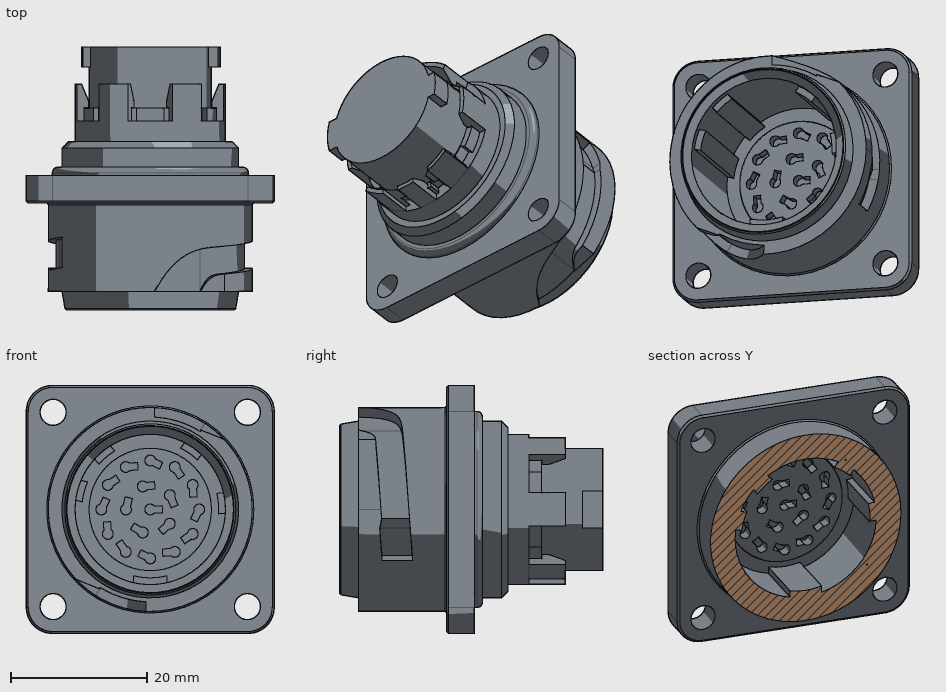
import cadquery as cq
import math

total_length = 38.7

flange_side = 36.5
flange_corner_radius = 3.85
flange_edge_chamfer = 0.3
flange_front = 15.7
flange_back = 19.8
mount_hole_diameter = 3.8
mount_hole_offset = 14.28

shell_radius = 30.0 / 2
shell_front = 2.75
shell_foot_height = 0.25
tip_radius = 12.57
tip_edge_chamfer = 0.25
collar_base_radius = 26.0 / 2

round_collar_radius = 14.45
round_collar_back = 21.0
round_collar_fillet = 0.85
collar_back = 24.75
collar_chamfer = 0.95

bore_radius = 22.1 / 2
bore_mouth_radius = 12.23
bore_mouth_depth = 0.58
bore_depth = flange_back
insert_face = 19.42
insert_radius = 18.0 / 2

key_inner_radius = 10.05
key_front = 1.78
keys = [(5, 3.0), (55, 3.0), (130, 3.0), (165, 3.0), (270, 4.95)]

cavity_radius = 1.6 / 2
cavity_tail_width = 1.1
cavity_tail_length = 1.78
cavity_depth = 1.95
inner_circle_radius = 3.55
inner_circle_count = 5
inner_circle_start = 36
inner_circle_turn = -103
outer_circle_radius = 7.2
outer_circle_count = 12
outer_circle_turn = -116

finger_root = 27.8
finger_tip = 33.2
finger_width = 4.9
finger_count = 6
bottom_angle = 270
bottom_tab_width = 2.95
bottom_gap_width = 8.45
finger_tip_inner_radius = 10.35
hook_front = 29.75
hook_back = 30.8
hook_radius = 9.4

ring_radius = 10.02
ring_back = 29.68
ring_notch_floor = 9.15
ring_notch_span = 45.0
ring_notch_centres = (56, 124, 236, 304)

lug_front = 35.7
left_lug_radius = 10.1
left_lug_width = 4.1
right_lug_radius = 10.33
right_lug_width = 5.4

slot_count = 2
slot_end_angle = -30.0
slot_bend_angle = 50.0
slot_mouth_angle = 87.5
slot_lip_angle = 42.6
slot_lip_front_angle = 57.6
slot_back_at_axis = 10.18
slot_lead_per_degree = 0.018
slot_width = 4.1
slot_floor_low = 13.58
slot_floor_high = 13.93
slot_clearance = 0.4
detent_start_angle = -5.6
detent_full_angle = -11.5
detent_width = 4.5
ramp_normal_angle = 68.0
wall_steps = 24


def cylinder(radius, front, back):
    """Solid cylinder about the Y axis between two stations."""
    return cq.Workplane("XZ", origin=(0, front, 0)).circle(radius).extrude(front - back)


def turned(profile, span=360):
    """Revolve (radius, y) points about the Y axis through a span of degrees."""
    return cq.Workplane("XY").polyline(profile).close().revolve(span, (0, 0, 0), (0, 1, 0))


def turn(body, angle):
    """Turn a body about the Y axis, positive from +X towards +Z."""
    return body.rotate((0, 0, 0), (0, 1, 0), -angle)


def bar(inner, outer, width, front, back):
    """Rectangular bar reaching out along +X from the axis."""
    middle = ((inner + outer) / 2, (front + back) / 2, 0)
    return cq.Workplane("XY").box(outer - inner, back - front, width).translate(middle)


def make_body():
    """Turned shell, collars and rear barrel."""
    rear_edge = collar_base_radius - collar_chamfer
    body = turned([
        (0, 0),
        (tip_radius - tip_edge_chamfer, 0),
        (tip_radius, tip_edge_chamfer),
        (collar_base_radius, shell_front),
        (shell_radius, shell_front),
        (shell_radius, flange_front - shell_foot_height),
        (shell_radius + shell_foot_height, flange_front),
        (collar_base_radius, flange_front),
        (collar_base_radius, collar_back - collar_chamfer),
        (rear_edge, collar_back),
        (bore_radius, collar_back),
        (bore_radius, finger_root),
        (insert_radius, finger_root),
        (insert_radius, total_length),
        (0, total_length),
    ])
    round_collar = cylinder(round_collar_radius, flange_back, round_collar_back)
    return body.union(round_collar.faces(">Y").edges().fillet(round_collar_fillet))


def make_flange():
    """Square plate with rounded corners and four mounting holes."""
    holes = [(x, z) for x in (-mount_hole_offset, mount_hole_offset)
             for z in (-mount_hole_offset, mount_hole_offset)]
    plate = (
        cq.Workplane("XZ", origin=(0, flange_front, 0))
        .rect(flange_side, flange_side)
        .extrude(flange_front - flange_back)
        .edges("|Y").fillet(flange_corner_radius)
        .faces("<Y").chamfer(flange_edge_chamfer)
    )
    drills = (
        cq.Workplane("XZ", origin=(0, flange_front, 0))
        .pushPoints(holes)
        .circle(mount_hole_diameter / 2)
        .extrude(flange_front - flange_back)
    )
    return plate.cut(drills)


def make_bore():
    """Flared bore with the keys left standing on its wall."""
    bore = turned([
        (0, 0),
        (bore_mouth_radius, 0),
        (bore_radius, bore_mouth_depth),
        (bore_radius, bore_depth),
        (insert_radius, bore_depth),
        (insert_radius, insert_face),
        (0, insert_face),
    ])
    keyed_wall = cylinder(bore_radius, key_front, bore_depth)
    keyed_wall = keyed_wall.cut(cylinder(key_inner_radius, key_front, bore_depth))
    for angle, width in keys:
        key = bar(0, shell_radius, width, key_front, bore_depth).intersect(keyed_wall)
        bore = bore.cut(turn(key, angle))
    return bore


def make_cavity(radius, angle, tail_angle):
    """Keyhole cavity on a pitch circle, its tail pointing along tail_angle."""
    round_end = cylinder(cavity_radius, insert_face, insert_face + cavity_depth)
    tail = bar(0, cavity_tail_length, cavity_tail_width, insert_face, insert_face + cavity_depth)
    place = math.radians(angle)
    return turn(round_end.union(tail), tail_angle).translate(
        (radius * math.cos(place), 0, radius * math.sin(place)))


def make_cavities():
    """One centre cavity and two pitch circles of cavities."""
    cavities = make_cavity(0, 0, 0)
    for i in range(inner_circle_count):
        angle = inner_circle_start + i * 360 / inner_circle_count
        cavities = cavities.union(make_cavity(inner_circle_radius, angle, angle + inner_circle_turn))
    for i in range(outer_circle_count):
        angle = i * 360 / outer_circle_count
        cavities = cavities.union(make_cavity(outer_circle_radius, angle, angle + outer_circle_turn))
    return cavities


def make_ring():
    """Retaining ring seated under the finger hooks, with four notches in its rim."""
    ring = cylinder(ring_radius, collar_back, ring_back)
    notch = turned([
        (ring_notch_floor, finger_root),
        (shell_radius, finger_root),
        (shell_radius, ring_back),
        (ring_notch_floor, ring_back),
    ], ring_notch_span)
    for angle in ring_notch_centres:
        ring = ring.cut(turn(notch, angle + ring_notch_span / 2))
    return ring


def make_fingers():
    """Hooked snap fingers, trimmed at the bottom to leave room for the tab."""
    finger_sleeve = turned([
        (hook_radius, hook_front),
        (ring_radius, hook_front),
        (ring_radius, finger_root),
        (bore_radius, finger_root),
        (bore_radius, finger_tip),
        (finger_tip_inner_radius, finger_tip),
        (hook_radius, hook_back),
    ])
    finger = finger_sleeve.intersect(bar(0, shell_radius, finger_width, finger_root, finger_tip))
    fingers = finger
    for i in range(1, finger_count):
        fingers = fingers.union(turn(finger, i * 360 / finger_count))
    bottom_gap = bar(hook_radius, shell_radius, bottom_gap_width, finger_root, finger_tip)
    bottom_tab = bar(0, shell_radius, bottom_tab_width, finger_root, finger_tip).intersect(finger_sleeve)
    return fingers.cut(turn(bottom_gap, bottom_angle)).union(turn(bottom_tab, bottom_angle))


def make_lug(angle, radius, width):
    """Parallel-sided lug with a round outer face on the rear end of the barrel."""
    lug = bar(0, radius, width, lug_front, total_length)
    return turn(lug.intersect(cylinder(radius, lug_front, total_length)), angle)


def blend(value, start, end, first, last):
    """Straight-line blend from first to last while value runs from start to end."""
    return first + (last - first) * (value - start) / (end - start)


def bend_drop(angle, start, end, drop):
    """Smooth turn towards the shell front: nothing before start, the full drop at end."""
    return drop * (max(angle - start, 0) / (end - start)) ** 3


def slot_run(angle):
    """Rear wall of the straight helical run."""
    return slot_back_at_axis - slot_lead_per_degree * angle


def slot_back(angle):
    """Rear wall of a slot: helical run, then the bend out through the mouth."""
    drop = slot_run(slot_mouth_angle) - shell_front
    return slot_run(angle) - bend_drop(angle, slot_bend_angle, slot_mouth_angle, drop)


def slot_front(angle):
    """Front wall: wider at the detent, turning out past the shell front at the lip."""
    if angle < detent_start_angle:
        wide_part = max(angle, detent_full_angle)
        width = blend(wide_part, detent_start_angle, detent_full_angle, slot_width, detent_width)
        return slot_run(angle) - width
    drop = slot_run(slot_lip_front_angle) - slot_width - shell_front
    return slot_run(angle) - slot_width - bend_drop(angle, slot_lip_angle, slot_lip_front_angle, drop)


def mouth_front(angle):
    """Open front of the mouth, just clear of the shell end."""
    return shell_front - slot_clearance


def slot_floor(angle):
    """Floor radius: rises smoothly from the mouth to the detent, then drops into it."""
    if angle >= detent_start_angle:
        climb = (slot_mouth_angle - angle) / (slot_mouth_angle - detent_start_angle)
        return slot_floor_low + (slot_floor_high - slot_floor_low) * climb ** 2
    deep_part = max(angle, detent_full_angle)
    return blend(deep_part, detent_start_angle, detent_full_angle, slot_floor_high, slot_floor_low)


def slot_top(angle):
    """Outer radius of the slot cutters, clear of the shell."""
    return shell_radius + slot_clearance


def slot_patch(start, end, front):
    """Cutter for the stretch of slot between two angles."""
    angles = [start + (end - start) * i / wall_steps for i in range(wall_steps + 1)]

    def point(angle, radius, y):
        turned_by = math.radians(angle)
        return cq.Vector(radius(angle) * math.cos(turned_by), y(angle), radius(angle) * math.sin(turned_by))

    def rail(radius, y):
        return cq.Edge.makeSpline([point(angle, radius, y) for angle in angles], parameters=angles)

    def end_face(angle):
        corners = [point(angle, slot_floor, front), point(angle, slot_top, front),
                   point(angle, slot_top, slot_back), point(angle, slot_floor, slot_back)]
        return cq.Face.makeFromWires(cq.Wire.makePolygon(corners, close=True))

    rails = [
        rail(slot_floor, front),
        rail(slot_top, front),
        rail(slot_top, slot_back),
        rail(slot_floor, slot_back),
    ]
    walls = [cq.Face.makeRuledSurface(rails[i - 1], rails[i]) for i in range(len(rails))]
    shell = cq.Shell.makeShell(walls + [end_face(start), end_face(end)])
    return cq.Workplane(cq.Solid.makeSolid(shell))


def make_slot():
    """Bayonet slot in stretches: detent pocket, detent step, helical run with its lip, open mouth."""
    return [
        slot_patch(slot_end_angle, detent_full_angle, slot_front),
        slot_patch(detent_full_angle, detent_start_angle, slot_front),
        slot_patch(detent_start_angle, slot_lip_front_angle, slot_front),
        slot_patch(slot_lip_front_angle, slot_mouth_angle, mouth_front),
    ]


def make_ramp():
    """Lead-in wedge outside a plane close to the slot floor near the mouth."""
    distance = slot_floor(slot_lip_front_angle)
    run = math.sqrt(shell_radius ** 2 - distance ** 2)
    back = slot_front(slot_lip_angle)
    wedge = (
        cq.Workplane("XY")
        .box(slot_floor_low, back - shell_front, run)
        .translate((distance + slot_floor_low / 2, (shell_front + back) / 2, -run / 2))
    )
    return turn(wedge, ramp_normal_angle)


connector = make_body().union(make_flange()).union(make_ring()).union(make_fingers())
connector = connector.union(make_lug(180, left_lug_radius, left_lug_width))
connector = connector.union(make_lug(0, right_lug_radius, right_lug_width))
connector = connector.cut(make_bore()).cut(make_cavities())
for slot in range(slot_count):
    for cutter in make_slot() + [make_ramp()]:
        connector = connector.cut(turn(cutter, slot * 360 / slot_count))
result = cq.Workplane(connector.solids().val())